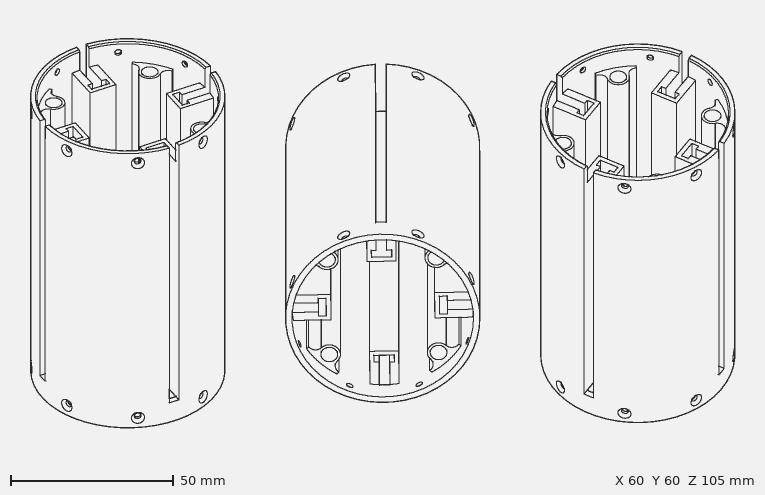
import cadquery as cq
import math

height = 105.0
outer_radius = 30.0
inner_radius = 28.0
wall_middle = (inner_radius + outer_radius) / 2
end_length = 7.5
rim_chamfer = 0.5
fittings_height = height - 2 * end_length
fitting_count = 4

rail_start_angle = 45.0
rail_width = 9.0
rail_inner_face = 16.0
rail_wall = 1.5
slot_width = 3.3
head_width = 6.3
head_depth = 2.4
head_floor = rail_inner_face + rail_wall

boss_start_angle = 0.0
boss_center = 23.85
boss_radius = 3.45
boss_hole_diameter = 5.15
pad_width = 13.0
pad_face = 26.3
pad_fillet = 2.5
pad_root = inner_radius + 0.5

screw_count = 8
screw_start_angle = 360 / screw_count / 2
screw_diameter = 2.1
countersink_diameter = 4.2
countersink_angle = 90.0
screw_heights = (end_length / 2, height - end_length / 2)


def cylinder(radius, length):
    return cq.Workplane("XY").circle(radius).extrude(length)


def radial_box(start, end, width, bottom, top):
    """Box lying along +X from start to end, centred on the X axis."""
    return (
        cq.Workplane("XY", origin=(start, 0, bottom))
        .rect(end - start, width)
        .extrude(top - bottom)
        .translate(((end - start) / 2, 0, 0))
    )


def around_axis(shape, count, start_angle):
    """List of copies of a shape, evenly spaced around the tube axis."""
    return [
        shape.rotate((0, 0, 0), (0, 0, 1), start_angle + i * 360 / count)
        for i in range(count)
    ]


def make_tube():
    tube = cylinder(outer_radius, height).cut(cylinder(inner_radius, height))
    top_inner_edge = tube.faces(">Z").edges(cq.selectors.RadiusNthSelector(0))
    return top_inner_edge.chamfer(rim_chamfer)


def make_rail():
    return radial_box(rail_inner_face, outer_radius, rail_width, end_length, height - end_length)


def make_rail_slot():
    """T-shaped slot: wide head inside the rail, narrow neck out through the tube wall and top end."""
    head = radial_box(head_floor, head_floor + head_depth, head_width, end_length, height)
    neck = radial_box(head_floor, outer_radius + rail_wall, slot_width, end_length, height)
    return head.union(neck)


def make_boss():
    """Boss on the +X side, blended into a flat pad against the tube wall."""
    blend_start = pad_face - pad_fillet
    blend_end = boss_radius + pad_fillet
    blend_along = pad_fillet * math.sin(math.radians(45))
    blend_middle = (blend_start + blend_along, blend_end - blend_along)
    half_pad = pad_width / 2
    return (
        cq.Workplane("XY", origin=(0, 0, end_length))
        .moveTo(boss_center, -boss_radius)
        .lineTo(blend_start, -boss_radius)
        .threePointArc((blend_middle[0], -blend_middle[1]), (pad_face, -blend_end))
        .lineTo(pad_face, -half_pad)
        .lineTo(pad_root, -half_pad)
        .lineTo(pad_root, half_pad)
        .lineTo(pad_face, half_pad)
        .lineTo(pad_face, blend_end)
        .threePointArc(blend_middle, (blend_start, boss_radius))
        .lineTo(boss_center, boss_radius)
        .threePointArc((boss_center - boss_radius, 0), (boss_center, -boss_radius))
        .close()
        .extrude(fittings_height)
    )


def make_boss_hole():
    return cylinder(boss_hole_diameter / 2, height).translate((boss_center, 0, 0))


def make_screw_hole(z):
    """Countersunk hole cutting inward through the wall on the +X side."""
    hole_radius = screw_diameter / 2
    sink_radius = countersink_diameter / 2
    sink_depth = (sink_radius - hole_radius) / math.tan(math.radians(countersink_angle / 2))
    hole_start = inner_radius - rim_chamfer
    return (
        cq.Workplane("XZ", origin=(0, 0, z))
        .moveTo(hole_start, 0)
        .lineTo(hole_start, hole_radius)
        .lineTo(outer_radius - sink_depth, hole_radius)
        .lineTo(outer_radius, sink_radius)
        .lineTo(outer_radius + sink_depth, sink_radius)
        .lineTo(outer_radius + sink_depth, 0)
        .close()
        .revolve(360, (0, 0, 0), (1, 0, 0))
    )


result = make_tube()
for rail in around_axis(make_rail(), fitting_count, rail_start_angle):
    result = result.union(rail.intersect(cylinder(wall_middle, height)))
for boss in around_axis(make_boss(), fitting_count, boss_start_angle):
    result = result.union(boss)
for slot in around_axis(make_rail_slot(), fitting_count, rail_start_angle):
    result = result.cut(slot)
for hole in around_axis(make_boss_hole(), fitting_count, boss_start_angle):
    result = result.cut(hole)
for screw_height in screw_heights:
    for hole in around_axis(make_screw_hole(screw_height), screw_count, screw_start_angle):
        result = result.cut(hole)